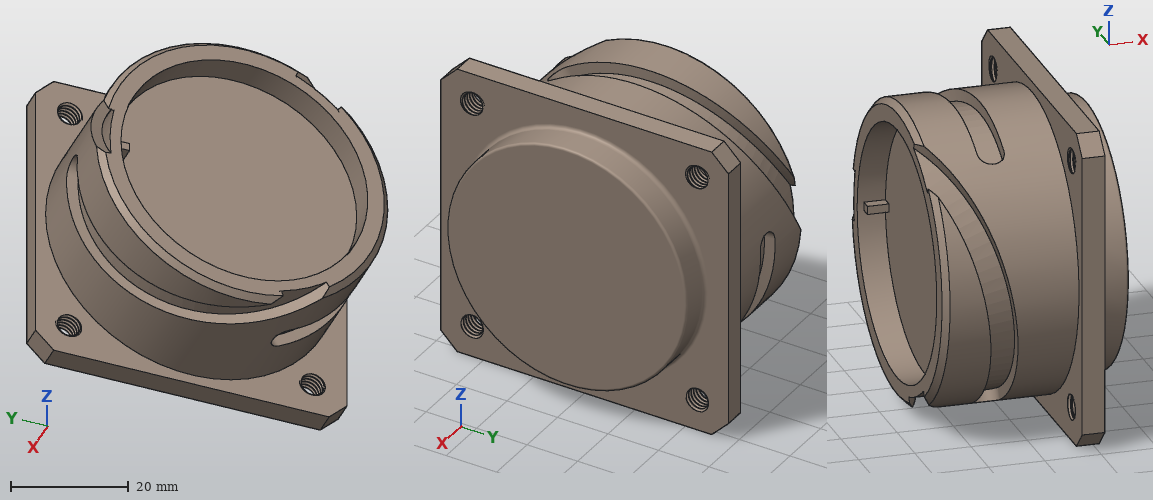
import math

import cadquery as cq


flange_side = 57.0
flange_front = 24.0
flange_thickness = 4.05
flange_corner = 3.3
flange_back = flange_front + flange_thickness

hole_spacing = 44.6
thread_minor_diameter = 4.1
thread_major_diameter = 4.9
thread_pitch = 0.8
thread_mouth_fraction = 0.9
thread_overlap = 0.05

shell_radius = 26.7
shell_chamfer = 1.1
recess_radius = 22.6
recess_depth = 5.0

overall_length = 33.8
spigot_radius = 23.75
spigot_edge_fillet = 0.45
spigot_root_fillet = 0.75

key_height = 1.5
key_reach = 2.05
key_length = 3.8

groove_count = 3
groove_width = 4.8
groove_floor_radius = 24.55
groove_end_x = 12.1
groove_end_angle = -62.8
groove_exit_angle = 120.0
groove_run_out_angle = 140.0
groove_power = 2.6
groove_segments = 30

overlap = 0.55


def disc(radius, start, end):
    """Solid cylinder on the part axis between two X positions."""
    return cq.Workplane("YZ", origin=(start, 0, 0)).circle(radius).extrude(end - start)


def make_shell():
    shell = disc(shell_radius, 0, flange_back).faces("<X").chamfer(shell_chamfer)
    return shell.cut(disc(recess_radius, 0, recess_depth))


def make_spigot():
    """Rear spigot with a rounded end edge and a concave fillet at the flange."""
    end_edge = overall_length - spigot_edge_fillet
    root_edge = flange_back + spigot_root_fillet
    diagonal = math.sqrt(0.5)
    profile = (
        cq.Workplane("XY")
        .moveTo(flange_front, 0)
        .lineTo(flange_front, spigot_radius + spigot_root_fillet)
        .lineTo(flange_back, spigot_radius + spigot_root_fillet)
        .threePointArc(
            (
                root_edge - spigot_root_fillet * diagonal,
                spigot_radius + spigot_root_fillet * (1 - diagonal),
            ),
            (root_edge, spigot_radius),
        )
        .lineTo(end_edge, spigot_radius)
        .threePointArc(
            (
                end_edge + spigot_edge_fillet * diagonal,
                spigot_radius - spigot_edge_fillet * (1 - diagonal),
            ),
            (overall_length, spigot_radius - spigot_edge_fillet),
        )
        .lineTo(overall_length, 0)
        .close()
    )
    return profile.revolve(360, (0, 0, 0), (1, 0, 0))


def make_key():
    inner_y = recess_radius - key_reach
    key = cq.Workplane("XY").box(
        key_length, key_reach + overlap, key_height, centered=(False, False, True)
    )
    return key.translate((recess_depth - key_length, inner_y, 0))


def make_thread_groove():
    """Helical V groove along Z, with its root crossing Z = 0 on the +X side."""
    minor_radius = thread_minor_diameter / 2
    major_radius = thread_major_diameter / 2
    half_mouth = thread_pitch * thread_mouth_fraction / 2
    inner_radius = minor_radius - thread_overlap
    profile = cq.Workplane("XZ").polyline(
        [(inner_radius, -half_mouth), (major_radius, 0), (inner_radius, half_mouth)]
    ).close()
    lead_in = thread_pitch
    turns = math.ceil((lead_in + flange_thickness + half_mouth) / thread_pitch)
    helix = cq.Wire.makeHelix(thread_pitch, turns * thread_pitch, minor_radius)
    groove = profile.sweep(cq.Workplane(helix), isFrenet=True)
    return groove.translate((0, 0, -lead_in))


def make_flange():
    """Square plate with cut corners and a threaded hole near each corner."""
    plate = cq.Workplane("YZ", origin=(flange_front, 0, 0)).rect(flange_side, flange_side)
    plate = plate.extrude(flange_thickness).edges("|X").chamfer(flange_corner)

    bore = cq.Workplane("YZ").circle(thread_minor_diameter / 2).extrude(flange_thickness)
    groove = make_thread_groove().rotate((0, 0, 0), (0, 0, 1), 180)
    groove = groove.rotate((0, 0, 0), (0, 1, 0), 90)
    for side in (-1, 1):
        for half_turn in (0, 180):
            place = (flange_front, side * hole_spacing / 2, hole_spacing / 2)
            for cutter in (bore, groove):
                plate = plate.cut(cutter.translate(place).rotate((0, 0, 0), (1, 0, 0), half_turn))
    return plate


def groove_x(angle):
    """X of the groove centre line at an angle from the round end."""
    return groove_end_x * (1 - (max(angle, 0) / groove_exit_angle) ** groove_power)


def groove_slope(angle):
    """Rise of the centre line in X per unit of arc length on the shell surface."""
    drop_rate = groove_power * (angle / groove_exit_angle) ** (groove_power - 1) / groove_exit_angle
    return -groove_end_x * drop_rate / (shell_radius * math.radians(1))


def radial_direction(angle):
    """Outward direction at an angle from the round end."""
    turn = math.radians(groove_end_angle + angle)
    return cq.Vector(0, -math.cos(turn), math.sin(turn))


def groove_section(angle):
    """Rectangle across the groove, square to its centre line."""
    radial = radial_direction(angle)
    around = radial_direction(angle + 90)
    along = around + cq.Vector(groove_slope(angle), 0, 0)
    half_across = radial.cross(along.normalized()) * (groove_width / 2)
    centre = cq.Vector(groove_x(angle), 0, 0)
    floor = centre + radial * groove_floor_radius
    top = centre + radial * (shell_radius + overlap)
    corners = [floor - half_across, floor + half_across, top + half_across, top - half_across]
    return cq.Wire.makePolygon(corners, close=True)


def make_groove():
    """Curved channel of short straight segments, with a round end."""
    step = groove_run_out_angle / groove_segments
    sections = [groove_section(step * index) for index in range(groove_segments + 1)]
    channel = cq.Solid.makeLoft(sections, True)

    radial = radial_direction(0)
    end_centre = cq.Vector(groove_end_x, 0, 0) + radial * groove_floor_radius
    end_height = shell_radius + overlap - groove_floor_radius
    round_end = cq.Solid.makeCylinder(groove_width / 2, end_height, end_centre, radial)
    return cq.Workplane(channel).union(cq.Workplane(round_end))


body = make_shell().union(make_flange()).union(make_spigot()).union(make_key())
bayonet_groove = make_groove()
for index in range(groove_count):
    body = body.cut(bayonet_groove.rotate((0, 0, 0), (1, 0, 0), index * 360 / groove_count))

result = body